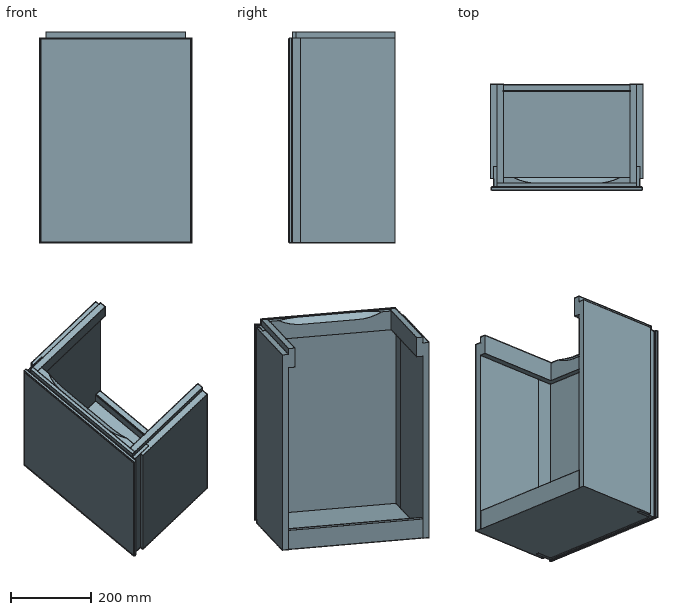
import cadquery as cq
import math

WIDTH = 380.0
DEPTH = 265.0
HEIGHT = 525.0
CABINET_HEIGHT = 510.0

BOARD = 16.5
SIDE_FRONT = 30.0
RAIL_HEIGHT = 50.0
RAIL_BOTTOM = HEIGHT - RAIL_HEIGHT
FRONT_RAIL = 14.5
FRONT_RAIL_DROP = 1.0
FRONT_RAIL_TOP = HEIGHT - FRONT_RAIL_DROP
BACK_RAIL = 16.5
BACK_RAIL_INSET = 1.5
BACK_RAIL_CHAMFER = 2.0

DOOR_WIDTH = 376.0
DOOR_THICK = 10.0
DOOR_CHAMFER = 2.0
SHEET = 8.5
WING = 8.5
WING_BACK = 60.0

SCOOP_FLAT_HALF = 73.0
SCOOP_END_RUN = 60.5
SCOOP_SLOPE = 1.0

SHEET_BACK = DOOR_THICK + SHEET
SIDE_INNER = WIDTH / 2 - BOARD
RAIL_INNER = SIDE_INNER - BOARD
FRONT_RAIL_BACK = SHEET_BACK + FRONT_RAIL


def block(x_min, x_max, y_min, y_max, z_min, z_max):
    """Box between two opposite corners."""
    size = (x_max - x_min, y_max - y_min, z_max - z_min)
    return cq.Workplane("XY").box(*size, centered=False).translate((x_min, y_min, z_min))


def make_wings():
    """Left and right wings, running back from the door beside the sheet."""
    wing = block(SIDE_INNER, SIDE_INNER + WING, DOOR_THICK, WING_BACK, 0, CABINET_HEIGHT)
    return wing.union(wing.mirror("YZ"))


def make_scoop_cutter():
    """Flat-bottomed profile with arc ends, swept straight backwards and down."""
    drop = SCOOP_SLOPE * FRONT_RAIL
    radius = (SCOOP_END_RUN**2 + drop**2) / (2 * drop)
    rim = SCOOP_FLAT_HALF + SCOOP_END_RUN
    half_angle = math.asin(SCOOP_END_RUN / radius) / 2
    mid_x = SCOOP_FLAT_HALF + radius * math.sin(half_angle)
    mid_z = FRONT_RAIL_TOP + radius * (1 - math.cos(half_angle))
    rim_z = FRONT_RAIL_TOP + drop
    path = (
        cq.Workplane("YZ")
        .moveTo(SHEET_BACK, FRONT_RAIL_TOP)
        .lineTo(FRONT_RAIL_BACK, FRONT_RAIL_TOP - drop)
    )
    return (
        cq.Workplane("XZ", origin=(0, SHEET_BACK, 0))
        .moveTo(-SCOOP_FLAT_HALF, FRONT_RAIL_TOP)
        .lineTo(SCOOP_FLAT_HALF, FRONT_RAIL_TOP)
        .threePointArc((mid_x, mid_z), (rim, rim_z))
        .lineTo(-rim, rim_z)
        .threePointArc((-mid_x, mid_z), (-SCOOP_FLAT_HALF, FRONT_RAIL_TOP))
        .close()
        .sweep(path)
    )


def make_back_rail():
    """Low rail standing on the floor, chamfered along its upper front edge."""
    rear = DEPTH - BACK_RAIL_INSET
    rail = block(-SIDE_INNER, SIDE_INNER, rear - BACK_RAIL, rear, 0, RAIL_HEIGHT)
    return rail.faces("<Y").edges(">Z").chamfer(BACK_RAIL_CHAMFER)


def make_carcass():
    """Side panels, floor and rails, recessed for the wings of the front unit."""
    side = block(SIDE_INNER, WIDTH / 2, SIDE_FRONT, DEPTH, 0, CABINET_HEIGHT)
    side_rail = block(RAIL_INNER, SIDE_INNER, SHEET_BACK, DEPTH, RAIL_BOTTOM, HEIGHT)
    half = side.union(side_rail)
    floor = block(-SIDE_INNER, SIDE_INNER, SHEET_BACK, DEPTH - BACK_RAIL_INSET, 0, BOARD)
    front_rail = block(-RAIL_INNER, RAIL_INNER, SHEET_BACK, FRONT_RAIL_BACK, RAIL_BOTTOM, FRONT_RAIL_TOP)
    front_rail = front_rail.cut(make_scoop_cutter())
    carcass = half.union(half.mirror("YZ")).union(floor).union(front_rail).union(make_back_rail())
    return carcass.cut(make_wings())


def make_front_unit():
    """Chamfered door joined to its backing sheet and wings."""
    door = block(-DOOR_WIDTH / 2, DOOR_WIDTH / 2, 0, DOOR_THICK, 0, CABINET_HEIGHT)
    door = door.faces("<Y or >Y").edges().chamfer(DOOR_CHAMFER)
    sheet = block(-SIDE_INNER, SIDE_INNER, DOOR_THICK, SHEET_BACK, 0, HEIGHT)
    return door.union(sheet).union(make_wings())


carcass = make_carcass()
front_unit = make_front_unit()

result = cq.Compound.makeCompound([carcass.val(), front_unit.val()])